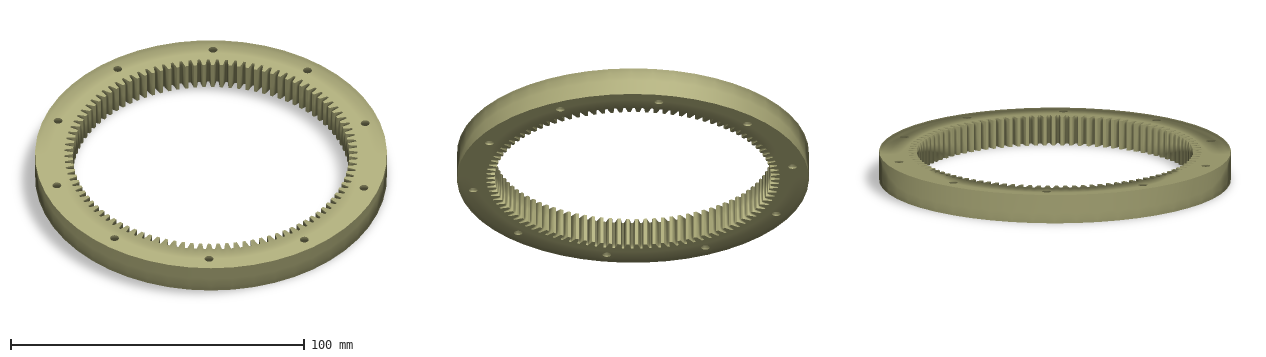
import cadquery as cq
import math

outer_diameter = 120.0
thickness = 10.0

hole_count = 10
hole_diameter = 3.0
bolt_circle_diameter = 110.0

tooth_count = 100
tip_diameter = 94.2
root_diameter = 100.0
gap_width_at_tip = 1.9
gap_width_at_root = 0.78

tip_radius = tip_diameter / 2
root_radius = root_diameter / 2
tooth_pitch_angle = 360 / tooth_count


def ring():
    """Plain ring, bored to the tooth tips and standing on the XY plane."""
    return cq.Workplane("XY").circle(outer_diameter / 2).circle(tip_radius).extrude(thickness)


def tooth_gap():
    """One gap on the +X axis, narrowing along straight flanks towards its root."""
    half_tip = gap_width_at_tip / 2
    half_root = gap_width_at_root / 2
    tip_x = math.sqrt(tip_radius**2 - half_tip**2)
    root_x = math.sqrt(root_radius**2 - half_root**2)
    inner_end_x = tip_radius - gap_width_at_tip
    return (
        cq.Workplane("XY")
        .moveTo(inner_end_x, -half_tip)
        .lineTo(tip_x, -half_tip)
        .lineTo(root_x, -half_root)
        .threePointArc((root_radius, 0), (root_x, half_root))
        .lineTo(tip_x, half_tip)
        .lineTo(inner_end_x, half_tip)
        .close()
        .extrude(thickness)
        .val()
    )


def tooth_gaps():
    """Gaps spaced so that a tooth is centred on the +X axis."""
    gap = tooth_gap()
    axis_start = (0, 0, 0)
    axis_end = (0, 0, 1)
    return [
        gap.rotate(axis_start, axis_end, (index + 0.5) * tooth_pitch_angle)
        for index in range(tooth_count)
    ]


def bolt_holes():
    """Through holes on the bolt circle, the first on the +X axis."""
    return (
        cq.Workplane("XY")
        .polarArray(bolt_circle_diameter / 2, 0, 360, hole_count)
        .circle(hole_diameter / 2)
        .extrude(thickness)
    )


toothed_ring = ring().val().cut(*tooth_gaps())
result = cq.Workplane(toothed_ring).cut(bolt_holes())